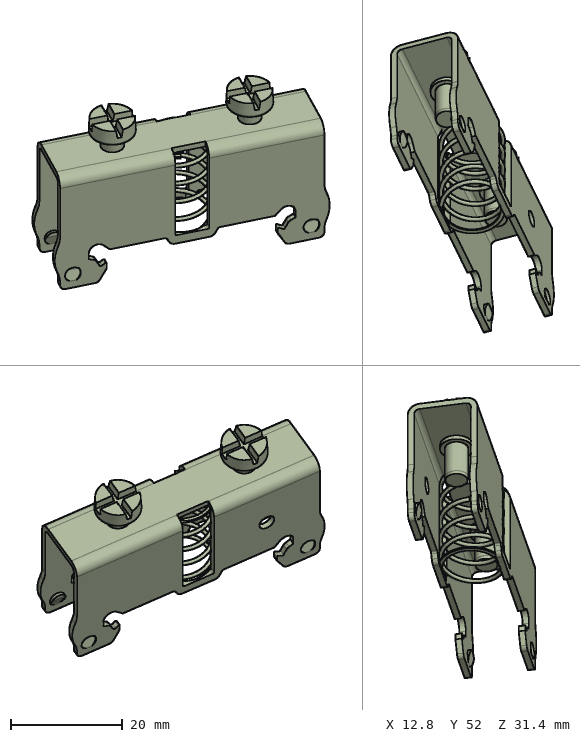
import cadquery as cq
import math

overall_length = 51.95
channel_width = 12.8
channel_top = 25.15
sheet = 1.2
bend_outer_radius = 2.2
bend_inner_radius = bend_outer_radius - sheet
ceiling = channel_top - sheet
inner_wall_x = channel_width / 2 - sheet
half_top_length = 25.0

bulge_height = 6.85
bulge_radius = 8.0
bulge_blend_radius = 4.95
bulge_edge_angle = math.radians(22.5)

wall_bottom = 6.9
lug_bottom = 5.2
lug_flat_half = 3.2
lug_corner_radius = 1.3
lug_root_radius = 0.5
lug_edge_angle = math.radians(60)

throat_mouth_y = 15.6
throat_back_y = 19.55
throat_back_bottom = 5.65
throat_radius = 1.6
hook_knuckle_y = 18.3
hook_knuckle_z = 5.15
hook_knuckle_radius = 1.05
hook_valley_y = 17.35
hook_valley_z = 3.5
hook_valley_radius = 0.25
hook_tip_y = 16.15
hook_tip_z = 4.25
hook_tip_radius = 0.2
hook_lip_base = 2.8
hook_foot_y = 17.75
hook_foot_radius = 1.1

window_width = 6.4
window_bottom = 7.05
window_corner_radius = 0.3

hole_radius = 1.5
wall_hole_y = -14.1
wall_hole_z = 14.9
dimple_y = 22.55
dimple_z = 3.0
dimple_depth = 0.6
dimple_crease_z = 3.75
dimple_hinge_z = 1.65

screw_y = 13.0
collar_radius = 2.95
collar_height = 0.85
shaft_radius = 2.15
shaft_bottom = 16.1
tip_radius = 2.0
tip_height = 0.6
head_bottom = 28.1
head_top = 31.4
head_radius = 4.25
head_top_radius = 4.1
head_edge_radius = 0.6
slot_depth = 1.55
wide_slot_top_width = 1.65
wide_slot_floor_width = 1.45
narrow_slot_top_width = 1.35
narrow_slot_floor_width = 0.75

spring_y = -0.25
spring_radius = 5.55
wire_radius = 0.39
spring_pitch = 4.0
spring_bottom = 5.8
spring_top = ceiling
lower_coil_inset = 0.1
upper_coil_inset = 0.2


def rounded_outline(plane, corners):
    """Closed wire through (y, z, radius) corners, each rounded with its own radius (0 keeps it sharp)."""
    pieces = []
    for index, (y, z, radius) in enumerate(corners):
        corner = cq.Vector(y, z)
        before = cq.Vector(*corners[index - 1][:2])
        after = cq.Vector(*corners[(index + 1) % len(corners)][:2])
        to_before = (before - corner).normalized()
        to_after = (after - corner).normalized()
        half_angle = to_before.getAngle(to_after) / 2
        setback = radius / math.tan(half_angle)
        bisector = (to_before + to_after).normalized()
        nearest = radius / math.sin(half_angle) - radius
        start = corner + to_before * setback
        middle = corner + bisector * nearest
        end = corner + to_after * setback
        pieces.append((radius, start, middle, end))

    outline = cq.Workplane(plane).moveTo(pieces[0][3].x, pieces[0][3].y)
    for radius, start, middle, end in pieces[1:] + pieces[:1]:
        outline = outline.lineTo(start.x, start.y)
        if radius > 0:
            outline = outline.threePointArc((middle.x, middle.y), (end.x, end.y))
    return outline.close()


def wall_outline():
    """Side outline of the channel, symmetric about Y = 0."""
    lug_corner_y = lug_flat_half + lug_corner_radius * math.tan(lug_edge_angle / 2)
    lug_root_y = lug_corner_y + (wall_bottom - lug_bottom) / math.tan(lug_edge_angle)
    throat_apex_z = wall_bottom + throat_back_y - throat_mouth_y
    bulge_apex_y = overall_length / 2 + bulge_radius * (1 / math.cos(bulge_edge_angle) - 1)
    bulge_half_height = (bulge_apex_y - half_top_length) / math.tan(bulge_edge_angle)
    half = [
        (lug_corner_y, lug_bottom, lug_corner_radius),
        (lug_root_y, wall_bottom, lug_root_radius),
        (throat_mouth_y, wall_bottom, 0),
        (throat_back_y, throat_apex_z, throat_radius),
        (throat_back_y, throat_back_bottom, 0),
        (hook_knuckle_y, hook_knuckle_z, hook_knuckle_radius),
        (hook_valley_y, hook_valley_z, hook_valley_radius),
        (hook_tip_y, hook_tip_z, hook_tip_radius),
        (hook_tip_y, hook_lip_base, 0),
        (hook_foot_y, 0, hook_foot_radius),
        (half_top_length, 0, hook_foot_radius),
        (half_top_length, bulge_height - bulge_half_height, bulge_blend_radius),
        (bulge_apex_y, bulge_height, bulge_radius),
        (half_top_length, bulge_height + bulge_half_height, bulge_blend_radius),
        (half_top_length, channel_top, 0),
    ]
    mirrored = [(-y, z, radius) for y, z, radius in reversed(half)]
    return rounded_outline("YZ", half + mirrored)


def make_channel():
    """U section along Y, trimmed to the side outline."""
    section = (
        cq.Workplane("XY")
        .box(channel_width, overall_length, channel_top, centered=(True, True, False))
        .edges("|Y and >Z")
        .fillet(bend_outer_radius)
    )
    inside = (
        cq.Workplane("XY")
        .box(2 * inner_wall_x, overall_length, ceiling, centered=(True, True, False))
        .edges("|Y and >Z")
        .fillet(bend_inner_radius)
    )
    side = wall_outline().extrude(channel_width / 2, both=True)
    return section.cut(inside).intersect(side)


def make_window(side):
    """Cutter for one wall and its bend; side is -1 or 1."""
    bend_start = channel_width / 2 - bend_outer_radius
    return (
        cq.Workplane("XY")
        .box(bend_outer_radius, window_width, channel_top - window_bottom, centered=(True, True, False))
        .edges("|X and <Z")
        .fillet(window_corner_radius)
        .translate((side * (bend_start + bend_outer_radius / 2), 0, window_bottom))
    )


def make_dimple(side, y, face_x):
    """Slug of a dimple, starting at distance face_x from the middle plane and leaning inwards."""
    above_disc = dimple_z + 2 * hole_radius
    deep_x = face_x - dimple_depth
    profile = [
        (side * face_x, dimple_hinge_z),
        (side * deep_x, dimple_crease_z),
        (side * deep_x, above_disc),
        (side * face_x, above_disc),
    ]
    wedge = cq.Workplane("XZ", origin=(0, y, 0)).polyline(profile).close().extrude(2 * hole_radius, both=True)
    disc = cq.Workplane("YZ").center(y, dimple_z).circle(hole_radius).extrude(side * channel_width)
    return wedge.intersect(disc)


def make_spring_space():
    """Cylinder that just holds the spring, between its two ground ends."""
    return (
        cq.Workplane("XY", origin=(0, spring_y, spring_bottom))
        .circle(spring_radius + wire_radius)
        .extrude(spring_top - spring_bottom)
    )


def make_housing():
    """Channel with its windows, dimples, wall hole, collars and screw bores."""
    housing = make_channel()
    for side in (-1, 1):
        housing = housing.cut(make_window(side))
        for y in (-dimple_y, dimple_y):
            housing = housing.cut(make_dimple(side, y, channel_width / 2))
            housing = housing.union(make_dimple(side, y, inner_wall_x))

    hole_plane = cq.Workplane("YZ").center(wall_hole_y, wall_hole_z)
    wall_hole = hole_plane.circle(hole_radius).extrude(-channel_width)
    housing = housing.cut(wall_hole)

    screw_places = [(0, -screw_y), (0, screw_y)]
    collars = (
        cq.Workplane("XY", origin=(0, 0, ceiling - collar_height))
        .pushPoints(screw_places)
        .circle(collar_radius)
        .extrude(collar_height)
    )
    bores = cq.Workplane("XY").pushPoints(screw_places).circle(shaft_radius).extrude(channel_top)
    housing = housing.union(collars).cut(bores)
    return housing.cut(make_spring_space())


def make_slot(plane, top_width, floor_width):
    """Cutter for a slot across the screw head, narrowing towards its floor; plane is square to it."""
    floor = head_top - slot_depth
    return (
        cq.Workplane(plane)
        .moveTo(-floor_width / 2, floor)
        .lineTo(floor_width / 2, floor)
        .lineTo(top_width / 2, head_top)
        .lineTo(-top_width / 2, head_top)
        .close()
        .extrude(head_radius, both=True)
    )


def make_screw(y):
    """Cheese-head screw with a wide slot along Y and a narrow slot along X."""
    shaft = (
        cq.Workplane("XZ")
        .moveTo(0, shaft_bottom)
        .lineTo(tip_radius, shaft_bottom)
        .lineTo(shaft_radius, shaft_bottom + tip_height)
        .lineTo(shaft_radius, head_bottom)
        .lineTo(0, head_bottom)
        .close()
        .revolve(360, (0, 0, 0), (0, 1, 0))
    )
    corner = math.sqrt(0.5) * head_edge_radius
    head = (
        cq.Workplane("XZ")
        .moveTo(0, head_bottom)
        .lineTo(head_radius - head_edge_radius, head_bottom)
        .threePointArc(
            (head_radius - head_edge_radius + corner, head_bottom + head_edge_radius - corner),
            (head_radius, head_bottom + head_edge_radius),
        )
        .lineTo(head_top_radius, head_top)
        .lineTo(0, head_top)
        .close()
        .revolve(360, (0, 0, 0), (0, 1, 0))
    )
    wide_slot = make_slot("XZ", wide_slot_top_width, wide_slot_floor_width)
    narrow_slot = make_slot("YZ", narrow_slot_top_width, narrow_slot_floor_width)
    screw = shaft.union(head).cut(wide_slot).cut(narrow_slot)
    return screw.translate((0, y, 0))


def wire_section():
    """Round section of the spring wire, standing upright at angle 0."""
    return cq.Workplane("XZ").moveTo(spring_radius, 0).circle(wire_radius)


def make_spring():
    """Right-handed helix with a flat half coil at each end, the ends ground flat."""
    low = spring_bottom + lower_coil_inset
    high = spring_top - upper_coil_inset
    climb = high - low
    climb_degrees = 360 * climb / spring_pitch

    helix = cq.Wire.makeHelix(spring_pitch, climb, spring_radius)
    coils = wire_section().sweep(cq.Workplane(helix), isFrenet=True)
    half_coil = wire_section().revolve(180, (0, 0, 0), (0, 1, 0))
    lower_end = half_coil.rotate((0, 0, 0), (0, 0, 1), 180)
    upper_end = half_coil.rotate((0, 0, 0), (0, 0, 1), climb_degrees).translate((0, 0, climb))
    spring = coils.union(lower_end).union(upper_end).translate((0, spring_y, low))
    grinding_limits = (
        cq.Workplane("XY", origin=(0, 0, spring_bottom))
        .rect(overall_length, overall_length)
        .extrude(spring_top - spring_bottom)
    )
    return spring.intersect(grinding_limits)


spring = make_spring()
housing = make_housing()
screws = [make_screw(y) for y in (-screw_y, screw_y)]
bodies = [housing, spring, *screws]
result = cq.Compound.makeCompound([body.solids().val() for body in bodies])